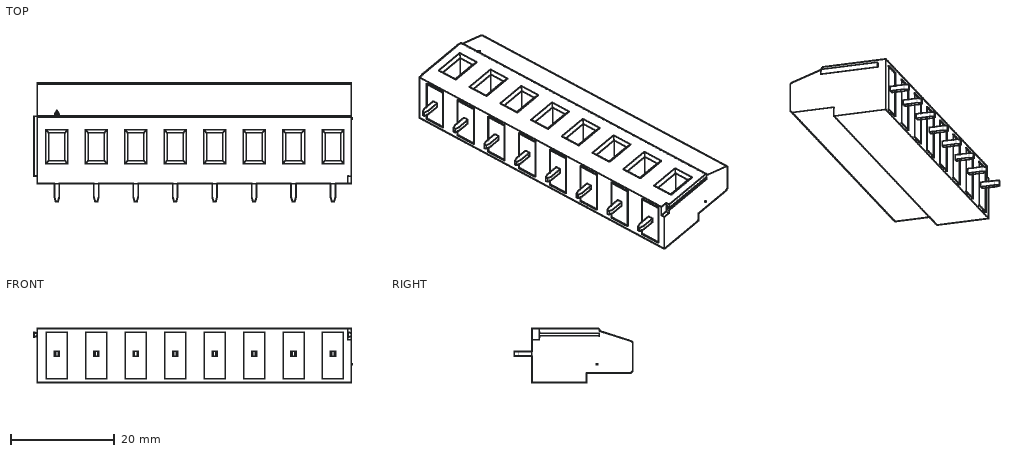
import cadquery as cq
import math

pole_count = 8
rail_reach = 0.6
pip_reach = 0.1
housing_length = 61.55 - rail_reach - pip_reach
pole_pitch = 7.65
housing_height = 10.5
pin_length = 3.45
housing_depth = 23.0 - pin_length

base_depth = 10.6
rear_underside = 1.85
rear_bottom_chamfer = 0.45
rear_top_height = 8.05
rear_top_chamfer = 0.3
ridge_y = 13.1
ridge_drop = 0.5
ridge_bevel = 0.25

slab_depth = 1.5
notch_width = 0.75
notch_height = 2.2

rail_end_y = 13.05
rail_top = housing_height - 0.75
rail_bottom = housing_height - 1.7
rail_taper = 0.25

opening_width = 4.25
opening_depth_y = 6.5
opening_center_y = 7.15
opening_margin = 0.585
opening_bevel_depth = opening_margin
opening_floor = 3.7

recess_width = 4.05
recess_edge = 0.75
recess_depth = 0.2

mark_width = 0.85
mark_length = 0.75
mark_depth = 0.1
mark_taper = 50
mark_gap = 0.4

pip_diameter = 0.25
pip_y = 12.6
pip_z = 3.6

pin_width = 1.0
pin_thickness = 0.9
pin_center_z = 5.6
pin_taper_length = 0.85
pin_tip_width = 0.5
pin_embed = 0.6


def pole_center(index):
    return (index + 0.5) * pole_pitch


def box(x_start, x_end, y_start, y_end, z_start, z_end):
    size = (x_end - x_start, y_end - y_start, z_end - z_start)
    return cq.Workplane("XY").box(*size, centered=False).translate((x_start, y_start, z_start))


def housing():
    rear_chamfer_y = housing_depth - rear_top_chamfer
    profile = [
        (0, 0),
        (base_depth, 0),
        (base_depth, rear_underside),
        (housing_depth - rear_bottom_chamfer, rear_underside),
        (housing_depth, rear_underside + rear_bottom_chamfer),
        (housing_depth, rear_top_height - rear_top_chamfer),
        (rear_chamfer_y, rear_top_height),
        (ridge_y, housing_height - ridge_drop),
        (ridge_y, housing_height - ridge_bevel),
        (ridge_y - ridge_bevel, housing_height),
        (0, housing_height),
    ]
    return cq.Workplane("YZ").polyline(profile).close().extrude(housing_length)


def dovetail(root_x):
    """Dovetail bar reaching out in -X from root_x, wider at its outer face."""
    section = [
        (root_x, rail_bottom + rail_taper),
        (root_x - rail_reach, rail_bottom),
        (root_x - rail_reach, rail_top),
        (root_x, rail_top - rail_taper),
    ]
    bar = cq.Workplane("XZ").polyline(section).close().extrude(slab_depth - rail_end_y)
    return bar.translate((0, slab_depth, 0))


def slab_notch():
    return box(
        housing_length - notch_width, housing_length,
        0, slab_depth,
        housing_height - notch_height, housing_height,
    )


def opening(center_x):
    inner_width = opening_width - 2 * opening_margin
    inner_depth = opening_depth_y - 2 * opening_margin
    bevel = (
        cq.Workplane("XY", origin=(center_x, opening_center_y, housing_height))
        .rect(opening_width, opening_depth_y)
        .workplane(offset=-opening_bevel_depth)
        .rect(inner_width, inner_depth)
        .loft()
    )
    shaft = (
        cq.Workplane("XY", origin=(center_x, opening_center_y, opening_floor))
        .rect(inner_width, inner_depth)
        .extrude(housing_height - opening_bevel_depth - opening_floor)
    )
    return bevel.union(shaft)


def recess(center_x):
    left = center_x - recess_width / 2
    return box(left, left + recess_width, 0, recess_depth, recess_edge, housing_height - recess_edge)


def pin(center_x):
    """Flat pin leaving the recess toward -Y, narrowed at its tip."""
    outline = [
        (-pin_width / 2, pin_embed),
        (-pin_width / 2, pin_taper_length - pin_length),
        (-pin_tip_width / 2, -pin_length),
        (pin_tip_width / 2, -pin_length),
        (pin_width / 2, pin_taper_length - pin_length),
        (pin_width / 2, pin_embed),
    ]
    bar = cq.Workplane("XY").polyline(outline).close().extrude(pin_thickness)
    return bar.translate((center_x, 0, pin_center_z - pin_thickness / 2))


def end_pip():
    return (
        cq.Workplane("YZ", origin=(housing_length, pip_y, pip_z))
        .circle(pip_diameter / 2)
        .extrude(pip_reach)
    )


def pole_mark(center_x):
    """Shallow pyramid sunk into the rear slope, pointing to the back."""
    slope_run = housing_depth - rear_top_chamfer - ridge_y
    slope_fall = housing_height - ridge_drop - rear_top_height
    slope_angle = math.atan2(slope_fall, slope_run)
    slope_plane = cq.Plane(
        origin=(center_x, ridge_y, housing_height - ridge_drop),
        xDir=(1, 0, 0),
        normal=(0, math.sin(slope_angle), math.cos(slope_angle)),
    )
    outline = [
        (-mark_width / 2, mark_gap),
        (mark_width / 2, mark_gap),
        (0, mark_gap + mark_length),
    ]
    return cq.Workplane(slope_plane).polyline(outline).close().extrude(-mark_depth, taper=mark_taper)


result = (
    housing()
    .cut(dovetail(housing_length))
    .cut(slab_notch())
    .cut(pole_mark(pole_center(0)))
    .union(dovetail(0))
    .union(end_pip())
)
for pole in range(pole_count):
    center_x = pole_center(pole)
    result = result.cut(opening(center_x)).cut(recess(center_x)).union(pin(center_x))